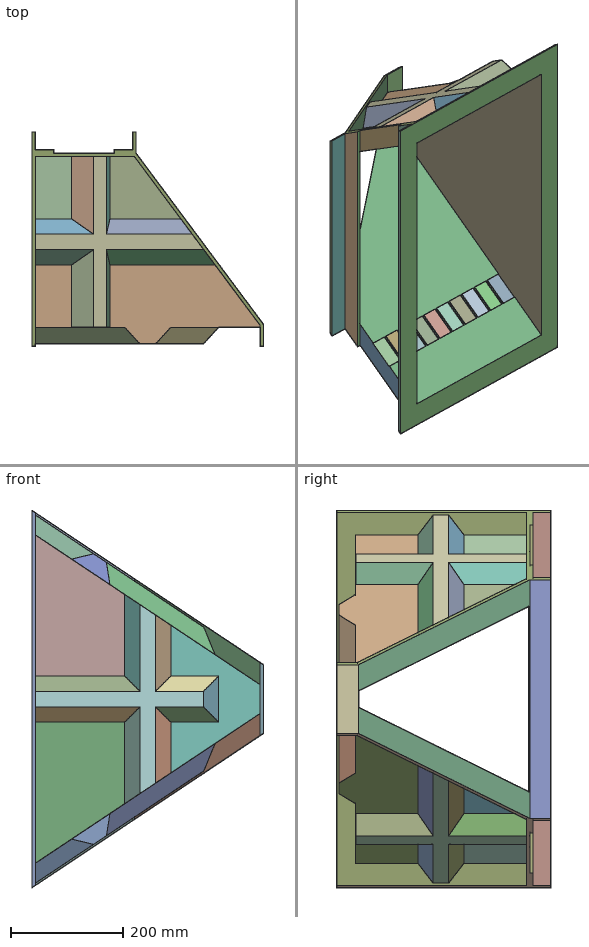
import cadquery as cq
import math

LENGTH = 412.0
DEPTH = 381.0
HALF_HEIGHT = 335.5
TIP_HALF_HEIGHT = 61.0

SHEET = 6.0
FLANGE = 33.0
FRONT_Y = 33.5
BACK_Y = 343.5
BACK_X = 185.0
TIP_BEND_Y = 39.0
LEG_WIDTH = 39.0
LEFT_LEG_Y = 341.5

RIB_BASE = 82.0
RIB_CREST = 27.5
RIB_HEIGHT = 29.5
FRONT_RIB_X = 206.0
FRONT_RIB_END = 332.0
CROSS_RIB_X = 104.5
CROSS_RIB_SETBACK = 1.0

POCKET_COUNT = 10
POCKET_WEB = 3.5
POCKET_DEPTH = 1.5
POCKET_X = 70.0
POCKET_RUN = 42.0

SLOPE = (HALF_HEIGHT - TIP_HALF_HEIGHT) / LENGTH
COS_SLOPE = 1 / math.hypot(1, SLOPE)
SIN_SLOPE = SLOPE * COS_SLOPE
WALL_HALF = HALF_HEIGHT - FLANGE / COS_SLOPE
CAVITY_HALF = WALL_HALF - SHEET / COS_SLOPE
CAVITY_Y = FRONT_Y + SHEET
WALL_MID_Y = (FRONT_Y + BACK_Y - SHEET) / 2
OBLIQUE_X = LENGTH - BACK_X
OBLIQUE_Y = BACK_Y - TIP_BEND_Y
OBLIQUE_LENGTH = math.hypot(OBLIQUE_X, OBLIQUE_Y)
INNER_BACK_X = BACK_X - SHEET * (OBLIQUE_LENGTH - OBLIQUE_X) / OBLIQUE_Y
INNER_TIP_Y = TIP_BEND_Y - SHEET * (OBLIQUE_LENGTH - OBLIQUE_Y) / OBLIQUE_X


def wedge(half_height, y_start, y_end):
    """Tapered block with the given half height at x = 0, reaching to the tip."""
    tip = half_height - SLOPE * LENGTH
    outline = [(0, -half_height), (LENGTH, -tip), (LENGTH, tip), (0, half_height)]
    block = cq.Workplane("XZ").polyline(outline).close().extrude(y_start - y_end)
    return block.translate((0, y_start, 0))


def upright(footprint):
    """Full-height prism over a footprint in XY."""
    base = cq.Workplane("XY").workplane(offset=-HALF_HEIGHT)
    return base.polyline(footprint).close().extrude(2 * HALF_HEIGHT)


def rectangle(x0, x1, y0, y1):
    """Corner points of a rectangular footprint."""
    return [(x0, y0), (x1, y0), (x1, y1), (x0, y1)]


def rib(start, along, outward, length):
    """Rib whose base line begins at start and follows along, rising along outward."""
    half_base = RIB_BASE / 2
    half_crest = RIB_CREST / 2
    section = [(0, -half_base), (RIB_HEIGHT, -half_crest), (RIB_HEIGHT, half_crest), (0, half_base)]
    plane = cq.Plane(origin=start, xDir=outward, normal=along)
    return cq.Workplane(plane).polyline(section).close().extrude(length)


plan = upright([
    (0, FRONT_Y), (LENGTH - SHEET, FRONT_Y), (LENGTH - SHEET, INNER_TIP_Y),
    (INNER_BACK_X, BACK_Y - SHEET), (0, BACK_Y - SHEET),
])

body = plan.intersect(wedge(WALL_HALF, FRONT_Y, BACK_Y))

for side in (1, -1):
    outward = (SIN_SLOPE, 0, side * COS_SLOPE)
    down_slope = (COS_SLOPE, 0, -side * SIN_SLOPE)
    cross_z = side * (WALL_HALF - SLOPE * CROSS_RIB_X)
    lead_z = side * (WALL_HALF + SLOPE * RIB_HEIGHT)
    slope_rib = rib((-RIB_HEIGHT, WALL_MID_Y, lead_z), down_slope, outward, (LENGTH + RIB_HEIGHT) / COS_SLOPE)
    cross_rib = rib((CROSS_RIB_X, FRONT_Y + CROSS_RIB_SETBACK, cross_z), (0, 1, 0), outward, BACK_Y)
    body = body.union(slope_rib.union(cross_rib).intersect(plan))

front_vertical = rib((FRONT_RIB_X, FRONT_Y, -HALF_HEIGHT), (0, 0, 1), (0, -1, 0), 2 * HALF_HEIGHT)
body = body.union(front_vertical.intersect(wedge(WALL_HALF, 0, FRONT_Y)))

rib_slant = (RIB_BASE - RIB_CREST) / 2
end_profile = upright([
    (0, FRONT_Y), (FRONT_RIB_END, FRONT_Y),
    (FRONT_RIB_END - rib_slant, FRONT_Y - RIB_HEIGHT), (0, FRONT_Y - RIB_HEIGHT),
])
front_horizontal = rib((0, FRONT_Y, 0), (1, 0, 0), (0, -1, 0), LENGTH)
body = body.union(front_horizontal.intersect(end_profile))

mouth_frame = upright(rectangle(0, SHEET, 0, DEPTH))
back_frame = upright(rectangle(0, INNER_BACK_X, BACK_Y - SHEET, BACK_Y))
oblique_frame = upright([
    (LENGTH - SHEET, 0), (LENGTH, 0), (LENGTH, TIP_BEND_Y), (BACK_X, BACK_Y),
    (INNER_BACK_X, BACK_Y), (INNER_BACK_X, BACK_Y - SHEET), (LENGTH - SHEET, INNER_TIP_Y),
])
frames = mouth_frame.union(back_frame).union(oblique_frame)

outer_wedge = wedge(HALF_HEIGHT, 0, DEPTH)
body = body.union(frames.intersect(outer_wedge)).cut(wedge(CAVITY_HALF, CAVITY_Y, BACK_Y))

left_leg = upright(rectangle(0, LEG_WIDTH, LEFT_LEG_Y, BACK_Y + SHEET))
right_leg = upright(rectangle(BACK_X - LEG_WIDTH, BACK_X, BACK_Y, BACK_Y + SHEET))
right_flange = upright(rectangle(BACK_X - SHEET, BACK_X, BACK_Y, DEPTH))
angles = left_leg.union(right_leg).union(right_flange)
body = body.union(angles.intersect(outer_wedge))

pocket_pitch = (BACK_Y - CAVITY_Y + POCKET_WEB) / POCKET_COUNT
pocket_width = pocket_pitch - POCKET_WEB
pocket_plane = cq.Plane(
    origin=(POCKET_X, CAVITY_Y, SLOPE * POCKET_X - CAVITY_HALF),
    xDir=(COS_SLOPE, 0, SIN_SLOPE),
    normal=(-SIN_SLOPE, 0, COS_SLOPE),
)
for index in range(POCKET_COUNT):
    pocket = (
        cq.Workplane(pocket_plane)
        .center(0, index * pocket_pitch)
        .rect(POCKET_RUN / COS_SLOPE, pocket_width, centered=False)
        .extrude(-POCKET_DEPTH)
    )
    body = body.cut(pocket)

result = body